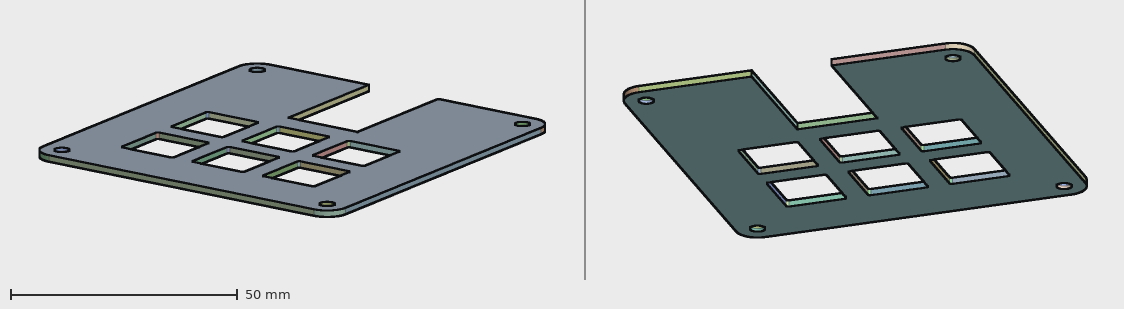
import cadquery as cq

width = 81.6
length = 84.7
thickness = 1.5
corner_radius = 5.0

hole_diameter = 3.4

notch_width = 18.6
notch_depth = 30.8
notch_center_x = 0.2

key_size = 14.0
key_corner_radius = 0.5
key_pitch = 19.05
key_columns = 3
key_rows = 2
grid_center_x = -0.3
grid_center_y = -11.6


def make_plate():
    plate = cq.Workplane("XY").box(width, length, thickness)
    return plate.edges("|Z").fillet(corner_radius)


def make_mounting_holes():
    spacing_x = width - 2 * corner_radius
    spacing_y = length - 2 * corner_radius
    return (
        cq.Workplane("XY")
        .rect(spacing_x, spacing_y, forConstruction=True)
        .vertices()
        .circle(hole_diameter / 2)
        .extrude(thickness, both=True)
    )


def make_notch():
    notch_center_y = length / 2 - notch_depth / 2
    return (
        cq.Workplane("XY")
        .center(notch_center_x, notch_center_y)
        .rect(notch_width, notch_depth)
        .extrude(thickness, both=True)
    )


def make_key_openings():
    return (
        cq.Workplane("XY")
        .center(grid_center_x, grid_center_y)
        .rarray(key_pitch, key_pitch, key_columns, key_rows)
        .rect(key_size, key_size)
        .extrude(thickness, both=True)
        .edges("|Z")
        .fillet(key_corner_radius)
    )


result = make_plate().cut(make_mounting_holes()).cut(make_notch()).cut(make_key_openings())